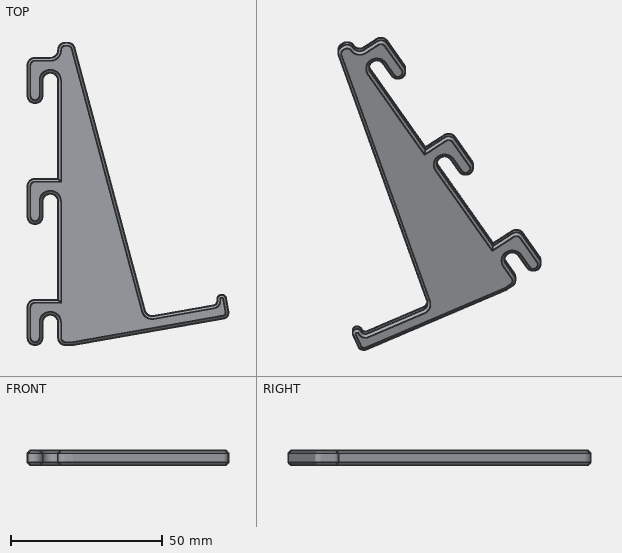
import cadquery as cq
import math

height = 100.0
thickness = 5.0
edge_chamfer = 1.0

hook_width = 5.0
slot_width = 5.1
hook_height = 15.0
hook_bridge = 5.0
hook_pitch = 40.0
hook_count = 3
hook_radius = hook_width / 2
slot_radius = 2.5

back_x = hook_width + slot_width
top_width = 5.0
front_x = back_x + top_width
front_angle = math.radians(15)
corner_radius = 2.5

arm_angle = math.radians(10)
arm_length = 52.5
arm_thickness = 4.9
tip_width = 3.0
tip_height = 7.9
tip_outer_radius = 2.0
tip_top_radius = tip_width / 2
tip_inner_radius = 1.5


def arm_point(along, across):
    """Point measured along and across the arm from the foot of the front edge."""
    x = front_x + along * math.cos(arm_angle) - across * math.sin(arm_angle)
    y = along * math.sin(arm_angle) + across * math.cos(arm_angle)
    return x, y


def hook_corners(bottom, top_corner_radius):
    """Corners of one hook with its slot, from the slot upward to the back edge above."""
    top = bottom + hook_height
    slot_top = top - hook_bridge
    return [
        ((back_x, slot_top), slot_radius),
        ((hook_width, slot_top), slot_radius),
        ((hook_width, bottom), hook_radius),
        ((0, bottom), hook_radius),
        ((0, top), hook_radius),
        ((back_x, top), top_corner_radius),
    ]


def arm_root():
    """Corner where the sloping front edge meets the upper face of the arm."""
    x0, y0 = arm_point(0, arm_thickness)
    front_slope = math.tan(front_angle)
    arm_slope = math.tan(arm_angle)
    x_at_y0 = front_x + (height - y0) * front_slope
    run = (x_at_y0 - x0) / (1 + arm_slope * front_slope)
    return x0 + run, y0 + run * arm_slope


def bracket_corners():
    """All outline corners in order, each with its rounding radius (0 is sharp)."""
    corners = [((back_x, 0), corner_radius)]
    for index in range(hook_count):
        is_top_hook = index == hook_count - 1
        corners += hook_corners(index * hook_pitch, corner_radius if is_top_hook else 0)
    corners += [
        ((back_x, height), corner_radius),
        ((front_x, height), corner_radius),
        (arm_root(), corner_radius),
        (arm_point(arm_length - tip_width, arm_thickness), tip_inner_radius),
        (arm_point(arm_length - tip_width, tip_height), tip_top_radius),
        (arm_point(arm_length, tip_height), tip_top_radius),
        (arm_point(arm_length, 0), tip_outer_radius),
        ((front_x, 0), 0),
    ]
    return corners


def corner_arc(before, corner, after, radius):
    """Start, middle and end of the arc that rounds a corner between two neighbours."""
    corner = cq.Vector(*corner)
    to_before = (cq.Vector(*before) - corner).normalized()
    to_after = (cq.Vector(*after) - corner).normalized()
    half_angle = to_before.getAngle(to_after) / 2
    setback = radius / math.tan(half_angle)
    to_middle = radius / math.sin(half_angle) - radius
    bisector = (to_before + to_after).normalized()
    return corner + to_before * setback, corner + bisector * to_middle, corner + to_after * setback


def rounded_outline(corners):
    """Closed wire through the corners, with each one rounded by its own radius."""
    arcs = []
    for index, (corner, radius) in enumerate(corners):
        before = corners[index - 1][0]
        after = corners[(index + 1) % len(corners)][0]
        arcs.append((corner_arc(before, corner, after, radius), radius))

    min_edge = 1e-06
    edges = []
    previous_end = arcs[-1][0][2]
    for (start, middle, end), radius in arcs:
        if (start - previous_end).Length > min_edge:
            edges.append(cq.Edge.makeLine(previous_end, start))
        if radius > 0:
            edges.append(cq.Edge.makeThreePointArc(start, middle, end))
        previous_end = end
    return cq.Wire.assembleEdges(edges)


outline = rounded_outline(bracket_corners())
plate = cq.Workplane("XY").add(outline).toPending().extrude(thickness)
result = plate.faces("<Z or >Z").chamfer(edge_chamfer)